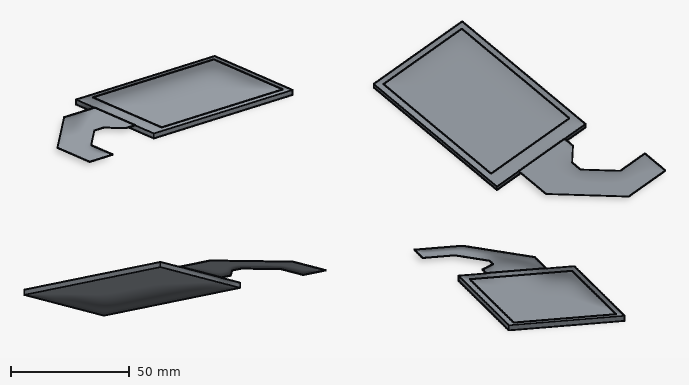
import cadquery as cq

overall_length = 118.1
overall_width = 58.0
overall_height = 2.5

panel_width = 50.7
panel_length = 76.5
film_thickness = 0.2
panel_thickness = overall_height - film_thickness

film_margin = 3.0
film_length = 66.7

cable_thickness = film_thickness
cable_left = 12.4
root_width = 26.2
root_length = 5.3
neck_width = 19.7
neck_end_y = -17.0
tail_width = 12.8


def make_panel():
    return cq.Workplane("XY").box(panel_width, panel_length, panel_thickness, centered=False)


def make_film():
    film_width = panel_width - 2 * film_margin
    film_near_y = panel_length - film_margin - film_length
    return (
        cq.Workplane("XY")
        .box(film_width, film_length, film_thickness, centered=False)
        .translate((film_margin, film_near_y, panel_thickness))
    )


def make_cable():
    root_right = cable_left + root_width
    neck_right = cable_left + neck_width
    tail_near_y = panel_length - overall_length
    tail_far_y = tail_near_y + tail_width
    neck_start_y = -root_length - (root_right - neck_right)
    inner_corner_x = neck_right + (neck_end_y - tail_far_y)
    outer_corner_x = cable_left + (neck_end_y - tail_near_y)
    outline = [
        (cable_left, 0),
        (root_right, 0),
        (root_right, -root_length),
        (neck_right, neck_start_y),
        (neck_right, neck_end_y),
        (inner_corner_x, tail_far_y),
        (overall_width, tail_far_y),
        (overall_width, tail_near_y),
        (outer_corner_x, tail_near_y),
        (cable_left, neck_end_y),
    ]
    return (
        cq.Workplane("XY")
        .workplane(offset=panel_thickness)
        .polyline(outline)
        .close()
        .extrude(cable_thickness)
    )


panel = make_panel()
film = make_film()
cable = make_cable()

result = cq.Compound.makeCompound([panel.val(), film.val(), cable.val()])